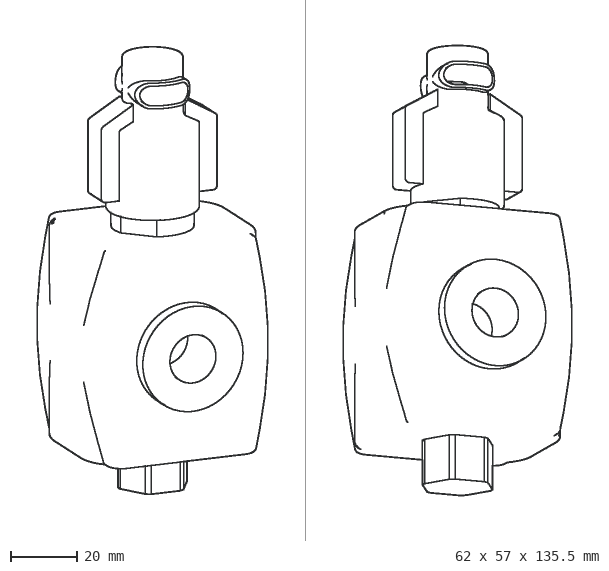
import cadquery as cq
import math


total_height = 135.5
port_length = 62.0
body_depth = 57.0

body_width = 52.7
body_height = 67.8
rim_radius = 1.4
barrel_radius = 135.5
bulge_half_height = 27.0
corner_radius = 5.0
strip_width = 20.0
crown_radius = 14.1

flange_diameter = 33.0
bore_diameter = 15.2
bore_depth = 21.7

stem_length = 13.8
hex_across_flats = 20.0
hex_corner_diameter = 22.2

collar_height = 5.4
collar_diameter = 25.2
collar_across_flats = 22.4

cap_diameter = 28.5
cap_height = 27.2
cap_edge_radius = 1.0
cone_slope = math.radians(30)
cone_fillet = 1.5
neck_diameter = 18.5
neck_edge_radius = 1.0

eye_drop = 9.8
eye_diameter = 23.6
eye_width = 18.2
eye_height = 8.1
slot_width = 15.9
slot_height = 6.2

arm_width = 10.5
arm_span = 38.2
arm_gap = 17.1
arm_bottom_height = 5.1
arm_side_height = 23.7
arm_slope = math.radians(30)
arm_edge_radius = 1.4

body_top = body_height / 2
stem_bottom = -body_top - stem_length
part_top = stem_bottom + total_height
cap_bottom = body_top + collar_height


def make_barrel():
    """Block with bulging front and back faces and rounded corners."""
    half_depth = body_depth / 2
    bulge_drop = barrel_radius - math.sqrt(barrel_radius**2 - bulge_half_height**2)
    bulge_end = half_depth - bulge_drop
    taper = math.tan(math.asin(bulge_half_height / barrel_radius))
    rim = bulge_end - taper * (body_top - bulge_half_height)
    profile = (
        cq.Workplane("YZ")
        .moveTo(-rim, -body_top)
        .lineTo(rim, -body_top)
        .lineTo(bulge_end, -bulge_half_height)
        .threePointArc((half_depth, 0), (bulge_end, bulge_half_height))
        .lineTo(rim, body_top)
        .lineTo(-rim, body_top)
        .lineTo(-bulge_end, bulge_half_height)
        .threePointArc((-half_depth, 0), (-bulge_end, -bulge_half_height))
        .close()
    )
    block = profile.extrude(body_width / 2, both=True)
    return block.faces("<X or >X").edges("not(|Y)").fillet(corner_radius)


def make_crown():
    """Upright block carrying the flat strips and the rounding beside them."""
    width = strip_width + 2 * crown_radius
    block = cq.Workplane().box(width, body_depth, body_height)
    return block.edges("|Z").fillet(crown_radius)


def make_body():
    body = make_barrel().union(make_crown())
    return body.faces("<Z or >Z").edges().fillet(rim_radius)


def make_ports():
    return cq.Workplane("YZ").circle(flange_diameter / 2).extrude(port_length / 2, both=True)


def make_bores():
    bore_floor = port_length / 2 - bore_depth
    bore = cq.Workplane("YZ", origin=(bore_floor, 0, 0)).circle(bore_diameter / 2).extrude(bore_depth)
    return bore.union(bore.mirror("YZ"))


def make_stem():
    """Hexagon with two flats facing X, its corners turned to a circle."""
    base = cq.Workplane("XY", origin=(0, 0, stem_bottom))
    hexagon = base.polygon(6, hex_across_flats, circumscribed=True).extrude(stem_length)
    return hexagon.intersect(base.circle(hex_corner_diameter / 2).extrude(stem_length))


def make_collar():
    base = cq.Workplane("XY", origin=(0, 0, body_top))
    flats = (
        base.rect(collar_diameter, collar_across_flats)
        .extrude(collar_height)
        .rotate((0, 0, 0), (0, 0, 1), 45)
    )
    return base.circle(collar_diameter / 2).extrude(collar_height).intersect(flats)


def make_cap():
    """Turned cap, cone and neck with rounded edges."""
    cap_radius = cap_diameter / 2
    neck_radius = neck_diameter / 2
    cone_bottom = cap_bottom + cap_height
    cone_top = cone_bottom + (cap_radius - neck_radius) * math.tan(cone_slope)
    outline = (
        cq.Workplane("XZ")
        .moveTo(0, cap_bottom)
        .lineTo(cap_radius, cap_bottom)
        .lineTo(cap_radius, cone_bottom)
        .lineTo(neck_radius, cone_top)
        .lineTo(neck_radius, part_top)
        .lineTo(0, part_top)
        .close()
    )
    cap = outline.revolve(360, (0, 0, 0), (0, 1, 0))
    cap = cap.faces(">Z").edges().fillet(neck_edge_radius)
    cap = cap.faces("<Z").edges().fillet(cap_edge_radius)
    for height, radius in ((cone_bottom, cap_edge_radius), (cone_top, cone_fillet)):
        cap = cap.edges(cq.selectors.NearestToPointSelector((0, 0, height))).fillet(radius)
    return cap


def make_arms():
    """Pair of arms with roofs sloping up to the neck."""
    half_span = arm_span / 2
    half_gap = arm_gap / 2
    bottom = cap_bottom + arm_bottom_height
    shoulder = bottom + arm_side_height
    peak = shoulder + (half_span - half_gap) * math.tan(arm_slope)
    arm = (
        cq.Workplane("YZ")
        .moveTo(half_gap, bottom)
        .lineTo(half_span, bottom)
        .lineTo(half_span, shoulder)
        .lineTo(half_gap, peak)
        .close()
        .extrude(arm_width / 2, both=True)
        .faces(">Y")
        .edges("|X")
        .fillet(arm_edge_radius)
    )
    return arm.union(arm.mirror("XZ"))


def eye_prism(width, height):
    plane = cq.Workplane("YZ", origin=(0, 0, part_top - eye_drop))
    return plane.slot2D(width, height).extrude(eye_diameter / 2, both=True)


def make_eye():
    """Boss with an oblong outline along X, its ends turned about Z."""
    limit = (
        cq.Workplane("XY", origin=(0, 0, part_top - eye_drop - eye_height / 2))
        .circle(eye_diameter / 2)
        .extrude(eye_height)
    )
    return eye_prism(eye_width, eye_height).intersect(limit)


def make_eye_slot():
    return eye_prism(slot_width, slot_height)


result = (
    make_body()
    .union(make_ports())
    .cut(make_bores())
    .union(make_stem())
    .union(make_collar())
    .union(make_cap())
    .union(make_arms())
    .union(make_eye())
    .cut(make_eye_slot())
)